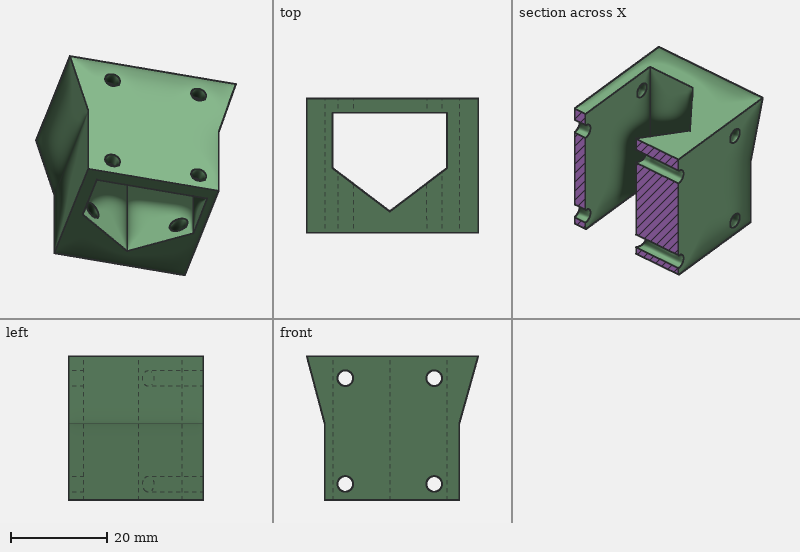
import cadquery as cq

top_width = 35.72
base_left_x = -14.15
base_right_x = 13.93
depth = 28.0
height = 30.0
flare_start = 16.0

passage_center_x = -0.57
passage_width = 23.8
passage_back_y = 25.0
passage_shoulder_y = 13.5
passage_tip_y = 4.5

hole_diameter = 3.2
hole_spacing_x = 18.5
hole_spacing_z = 22.0
lower_hole_z = 3.4


def make_body():
    """Extrude the front outline from y = 0 to the back."""
    half_top = top_width / 2
    outline = [
        (base_left_x, 0),
        (base_right_x, 0),
        (base_right_x, flare_start),
        (half_top, height),
        (-half_top, height),
        (base_left_x, flare_start),
    ]
    return cq.Workplane("XZ").polyline(outline).close().extrude(-depth)


def make_passage():
    left = passage_center_x - passage_width / 2
    right = passage_center_x + passage_width / 2
    outline = [
        (left, passage_back_y),
        (left, passage_shoulder_y),
        (passage_center_x, passage_tip_y),
        (right, passage_shoulder_y),
        (right, passage_back_y),
    ]
    return cq.Workplane("XY").polyline(outline).close().extrude(height)


def make_bolt_holes():
    hole_center_z = lower_hole_z + hole_spacing_z / 2
    return (
        cq.Workplane("XZ")
        .center(passage_center_x, hole_center_z)
        .rarray(hole_spacing_x, hole_spacing_z, 2, 2)
        .circle(hole_diameter / 2)
        .extrude(-depth)
    )


result = make_body().cut(make_passage()).cut(make_bolt_holes())